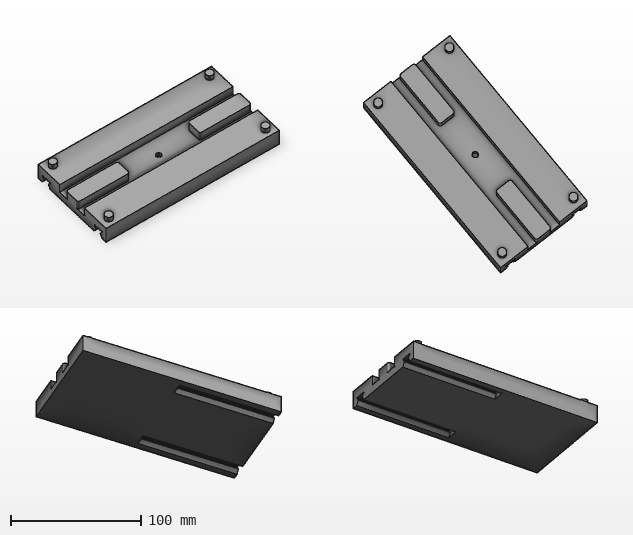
import cadquery as cq

plate_width = 85.0
plate_length = 168.0
plate_height = 15.5

channel_width = 31.0
channel_floor = 7.0
channel_depth = plate_height - channel_floor

key_width = 15.0
key_length = 50.0
key_corner_radius = 2.0

pin_diameter = 7.0
pin_height = 5.0
pin_spacing_x = 70.0
pin_spacing_y = 152.0
pin_shift_x = 0.5

center_hole_diameter = 4.82
center_hole_depth = 5.0

groove_spacing = 65.0
groove_mouth_width = 9.9
groove_waist_width = 5.3
groove_top_width = 9.2
groove_waist_height = 3.7
groove_shoulder_height = 6.3
groove_height = 7.1
groove_length = plate_length / 2


def make_plate():
    plate = cq.Workplane("XY").box(
        plate_width, plate_length, plate_height, centered=(True, True, False)
    )
    channel = (
        cq.Workplane("XY", origin=(0, 0, channel_floor))
        .box(channel_width, plate_length, channel_depth, centered=(True, True, False))
    )
    return plate.cut(channel)


def make_keys():
    key_offset = (plate_length - key_length) / 2
    return (
        cq.Workplane("XY")
        .pushPoints([(0, -key_offset), (0, key_offset)])
        .rect(key_width, key_length)
        .extrude(plate_height)
        .edges("|Z")
        .fillet(key_corner_radius)
    )


def make_pins():
    return (
        cq.Workplane("XY")
        .center(pin_shift_x, 0)
        .rect(pin_spacing_x, pin_spacing_y, forConstruction=True)
        .vertices()
        .circle(pin_diameter / 2)
        .extrude(plate_height + pin_height)
    )


def make_groove(center_x):
    half_mouth = groove_mouth_width / 2
    half_waist = groove_waist_width / 2
    half_top = groove_top_width / 2
    right_side = [
        (half_mouth, 0),
        (half_waist, groove_waist_height),
        (half_top, groove_shoulder_height),
        (half_top, groove_height),
    ]
    left_side = [(-x, z) for x, z in reversed(right_side)]
    return (
        cq.Workplane("XZ", origin=(center_x, -plate_length / 2, 0))
        .polyline(right_side + left_side)
        .close()
        .extrude(-groove_length)
    )


def make_center_hole():
    return (
        cq.Workplane("XY", origin=(0, 0, channel_floor))
        .circle(center_hole_diameter / 2)
        .extrude(-center_hole_depth)
    )


result = make_plate().union(make_keys())
result = result.union(make_pins())
for groove_x in (-groove_spacing / 2, groove_spacing / 2):
    result = result.cut(make_groove(groove_x))
result = result.cut(make_center_hole())